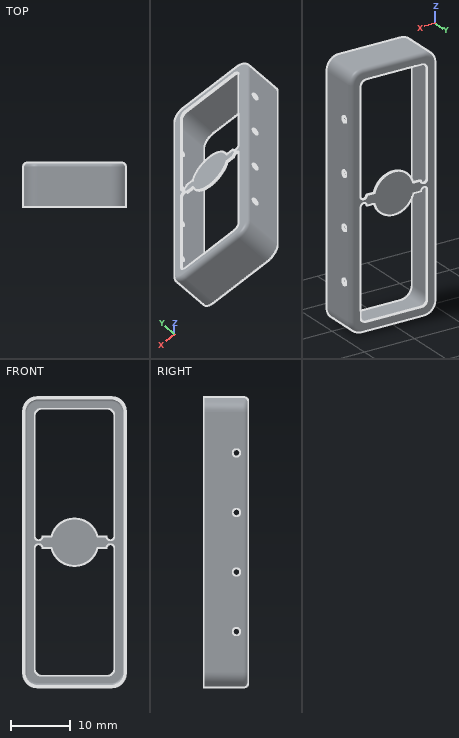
import cadquery as cq

width = 17.3
depth = 7.5
height = 48.8
wall = 0.3
corner_radius = 2.5
floor_edge_radius = 0.8

rim = 2.0
opening_radius = 1.1
opening_width = width - 2 * rim
opening_height = height - 2 * rim

disc_diameter = 8.0
notch_radius = 0.65
neck_height = 0.7
bar_height = neck_height + 2 * notch_radius

hole_diameter = 1.2
hole_spacing = 10.0
hole_count = 4
hole_from_floor = 2.0

floor_outer_y = depth / 2
floor_inner_y = floor_outer_y - wall


def rounded_block(inset, back_y):
    """Block from the open side to back_y, inset from the outer outline, with a rounded back edge."""
    return (
        cq.Workplane("XZ", origin=(0, -depth / 2, 0))
        .rect(width - 2 * inset, height - 2 * inset)
        .extrude(-(back_y + depth / 2))
        .edges("|Y")
        .fillet(corner_radius - inset)
        .faces(">Y")
        .edges()
        .fillet(floor_edge_radius - inset)
    )


def floor_plane():
    """Sketch plane on the inner floor face; extruding by -wall fills the floor thickness."""
    return cq.Workplane("XZ", origin=(0, floor_inner_y, 0))


def make_floor_opening():
    return (
        floor_plane()
        .rect(opening_width, opening_height)
        .extrude(-wall)
        .edges("|Y")
        .fillet(opening_radius)
    )


def make_bridge():
    """Disc and bar, with round notches thinning the bar to a neck at each end."""
    bar = floor_plane().rect(opening_width, bar_height).extrude(-wall)
    notch_x = opening_width / 2 - notch_radius
    notch_centres = [(x, z) for x in (-notch_x, notch_x) for z in (-bar_height / 2, bar_height / 2)]
    notches = floor_plane().pushPoints(notch_centres).circle(notch_radius).extrude(-wall)
    disc = floor_plane().circle(disc_diameter / 2).extrude(-wall)
    return bar.cut(notches).union(disc)


def make_side_holes():
    return (
        cq.Workplane("YZ", origin=(0, floor_outer_y - hole_from_floor, 0))
        .rarray(0.5, hole_spacing, 1, hole_count)
        .circle(hole_diameter / 2)
        .extrude(width / 2, both=True)
    )


tray = rounded_block(0, floor_outer_y).cut(rounded_block(wall, floor_inner_y))
result = tray.cut(make_floor_opening()).union(make_bridge()).cut(make_side_holes())